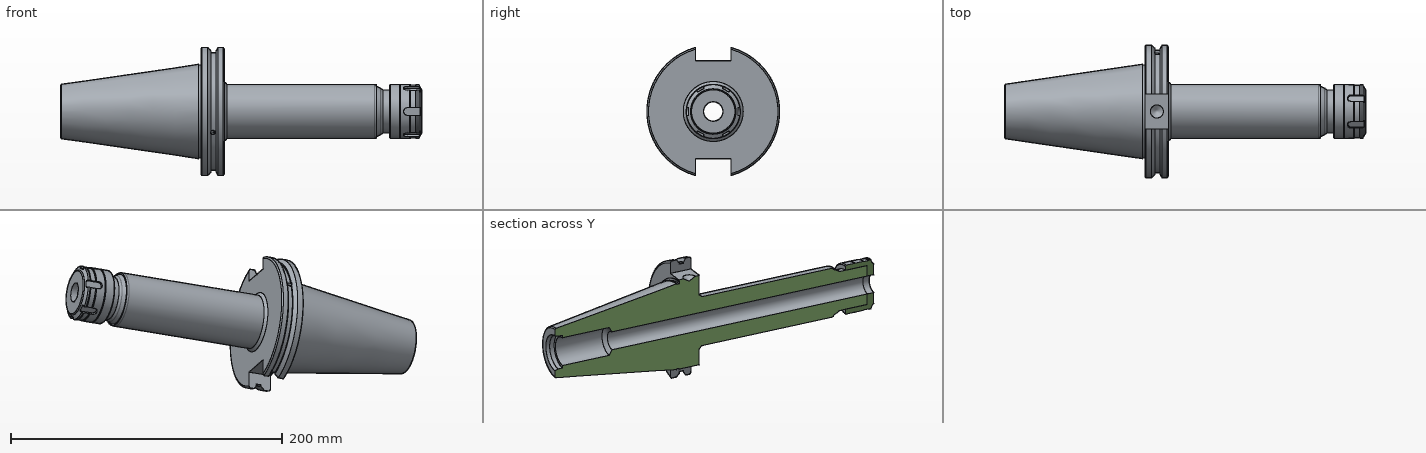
import cadquery as cq
import math


total_length = 266.5

taper_ratio = 7 / 24
taper_length = 101.8
taper_large_r = 35.0
taper_small_r = taper_large_r - taper_length * taper_ratio / 2
taper_edge_chamfer = 0.8

flange_start = 103.5
flange_end = 120.8
flange_r = 49.0
flange_chamfer_length = 0.8
flange_chamfer_drop = 1.3
face_relief_r = 36.3
face_relief_depth = 0.5
relief_neck_r = 34.5
v_groove_mouth_start = 108.5
v_groove_floor_start = 111.2
v_groove_floor_end = 114.6
v_groove_mouth_end = 116.2
v_groove_flank_end_r = 46.5
v_groove_floor_r = 45.3
v_groove_center = (v_groove_mouth_start + v_groove_mouth_end) / 2

shank_r = 20.0
shank_end = 233.0
shank_root_chamfer = 2.0
shank_edge_length = 1.5
shank_edge_drop = 0.3

neck_r = 16.0
shoulder_r = 18.7
shoulder_knee_x = 236.0
shoulder_knee_r = 17.3
neck_start = 237.8

mouth_dia = 28.0
mouth_chamfer_length = 2.7
counterbore_dia = 26.0
counterbore_depth = 6.5
thread_bore_dia = 22.0
thread_bore_depth = 45.3
through_bore_dia = 14.0
through_bore_r = through_bore_dia / 2
drill_half_angle = 59.0

drive_slot_width = 25.9
upper_slot_floor = 37.5
lower_slot_floor = 35.0
drill_spot_dia = 9.5

coolant_angles = (20.0, 200.0)
coolant_circle_r = 41.9
coolant_dia = 3.2
coolant_mouth_dia = 5.0
coolant_mouth_depth = 2.7

nut_start = 242.5
nut_r = 20.0
nut_rear_chamfer = 0.8
nut_front_cone_start = 264.2
nut_front_edge_chamfer = 0.8
nut_front_r = 16.0
nut_lip = 5.3
ring_groove_x = 250.3
ring_groove_width = 0.8
ring_groove_depth = 0.3
band_start = 257.8
band_end = 262.3
band_depth = 0.3
band_flank = 0.8
wrench_slot_count = 6
wrench_slot_width = 5.5
wrench_slot_start = 253.0
wrench_slot_floor_r = 18.0

neck_end = total_length - nut_lip


def turned(points):
    """Revolve a closed outline of (x, radius) points about the X axis."""
    return cq.Workplane("XY").polyline(points).close().revolve(360, (0, 0, 0), (1, 0, 0))


def drill_tip(radius):
    """Length of the conical end that a drill of this radius leaves."""
    return radius / math.tan(math.radians(drill_half_angle))


def holder_blank():
    relief_floor = flange_start + face_relief_depth
    chamfer_top_r = taper_small_r + taper_edge_chamfer * taper_ratio / 2
    return turned([
        (0, 0),
        (0, taper_small_r - taper_edge_chamfer),
        (taper_edge_chamfer, chamfer_top_r),
        (taper_length, taper_large_r),
        (taper_length, relief_neck_r),
        (relief_floor, relief_neck_r),
        (relief_floor, face_relief_r),
        (flange_start, face_relief_r),
        (flange_start, flange_r - flange_chamfer_drop),
        (flange_start + flange_chamfer_length, flange_r),
        (v_groove_mouth_start, flange_r),
        (v_groove_floor_start, v_groove_flank_end_r),
        (v_groove_floor_start, v_groove_floor_r),
        (v_groove_floor_end, v_groove_floor_r),
        (v_groove_floor_end, v_groove_flank_end_r),
        (v_groove_mouth_end, flange_r),
        (flange_end - flange_chamfer_length, flange_r),
        (flange_end, flange_r - flange_chamfer_drop),
        (flange_end, shank_r + shank_root_chamfer),
        (flange_end + shank_root_chamfer, shank_r),
        (shank_end - shank_edge_length, shank_r),
        (shank_end, shank_r - shank_edge_drop),
        (shank_end, shoulder_r),
        (shoulder_knee_x, shoulder_knee_r),
        (neck_start, neck_r),
        (neck_end, neck_r),
        (neck_end, 0),
    ])


def holder_bore():
    """Through bore, opened to a threaded bore and a counterbore at the taper end."""
    counterbore_r = counterbore_dia / 2
    thread_r = thread_bore_dia / 2
    cone_length = drill_tip(thread_r) - drill_tip(through_bore_r)
    return turned([
        (0, 0),
        (0, mouth_dia / 2),
        (mouth_chamfer_length, counterbore_r),
        (counterbore_depth, counterbore_r),
        (counterbore_depth, thread_r),
        (thread_bore_depth, thread_r),
        (thread_bore_depth + cone_length, through_bore_r),
        (neck_end, through_bore_r),
        (neck_end, 0),
    ])


def drive_slot(floor, side):
    """Block that clears one drive slot; side is +1 for +Z and -1 for -Z."""
    length = flange_end - flange_start
    center_x = (flange_start + flange_end) / 2
    return cq.Workplane("XY").box(length, drive_slot_width, flange_r).translate(
        (center_x, 0, side * (floor + flange_r / 2))
    )


def drill_spot():
    """Conical spot in the floor of the upper drive slot."""
    radius = drill_spot_dia / 2
    return (
        cq.Workplane("XZ")
        .polyline([
            (0, upper_slot_floor),
            (radius, upper_slot_floor),
            (0, upper_slot_floor - drill_tip(radius)),
        ])
        .close()
        .revolve(360, (0, 0, 0), (0, 1, 0))
        .translate((v_groove_center, 0, 0))
    )


def coolant_passage(angle):
    """Axial hole from the flange face, met by a radial hole from the V-groove."""
    mouth_r = coolant_mouth_dia / 2
    hole_r = coolant_dia / 2
    mouth_end = flange_start + coolant_mouth_depth
    axial = turned([
        (flange_start, 0),
        (flange_start, mouth_r),
        (mouth_end, mouth_r),
        (mouth_end + drill_tip(mouth_r) - drill_tip(hole_r), hole_r),
        (v_groove_center, hole_r),
        (v_groove_center, 0),
    ]).translate((0, coolant_circle_r, 0))
    radial = (
        cq.Workplane("XZ", origin=(v_groove_center, coolant_circle_r, 0))
        .circle(hole_r)
        .extrude(coolant_circle_r - flange_r)
    )
    return axial.union(radial).rotate((0, 0, 0), (1, 0, 0), angle)


holder = holder_blank().cut(holder_bore())
holder = holder.cut(drive_slot(upper_slot_floor, 1))
holder = holder.cut(drive_slot(lower_slot_floor, -1))
holder = holder.cut(drill_spot())
for coolant_angle in coolant_angles:
    holder = holder.cut(coolant_passage(coolant_angle))


def nut_blank():
    """Cap with a bore for the neck and a front lip around the through bore."""
    groove_half = ring_groove_width / 2
    band_r = nut_r - band_depth
    return turned([
        (nut_start, neck_r),
        (nut_start, nut_r - nut_rear_chamfer),
        (nut_start + nut_rear_chamfer, nut_r),
        (ring_groove_x - groove_half, nut_r),
        (ring_groove_x, nut_r - ring_groove_depth),
        (ring_groove_x + groove_half, nut_r),
        (band_start - band_flank / 2, nut_r),
        (band_start + band_flank / 2, band_r),
        (band_end - band_flank / 2, band_r),
        (band_end + band_flank / 2, nut_r),
        (nut_front_cone_start, nut_r),
        (total_length - nut_front_edge_chamfer, nut_front_r + nut_front_edge_chamfer),
        (total_length, nut_front_r),
        (total_length, through_bore_r),
        (neck_end, through_bore_r),
        (neck_end, neck_r),
    ])


def wrench_slot(angle):
    """Flat-bottomed slot with a round end, open at the front of the nut."""
    half_width = wrench_slot_width / 2
    round_center = wrench_slot_start + half_width
    return (
        cq.Workplane("XZ", origin=(0, -wrench_slot_floor_r, 0))
        .moveTo(total_length, half_width)
        .lineTo(round_center, half_width)
        .threePointArc((wrench_slot_start, 0), (round_center, -half_width))
        .lineTo(total_length, -half_width)
        .close()
        .extrude(nut_r)
        .rotate((0, 0, 0), (1, 0, 0), angle)
    )


nut = nut_blank()
for index in range(wrench_slot_count):
    nut = nut.cut(wrench_slot(index * 360 / wrench_slot_count))

result = cq.Compound.makeCompound([holder.val(), nut.val()])